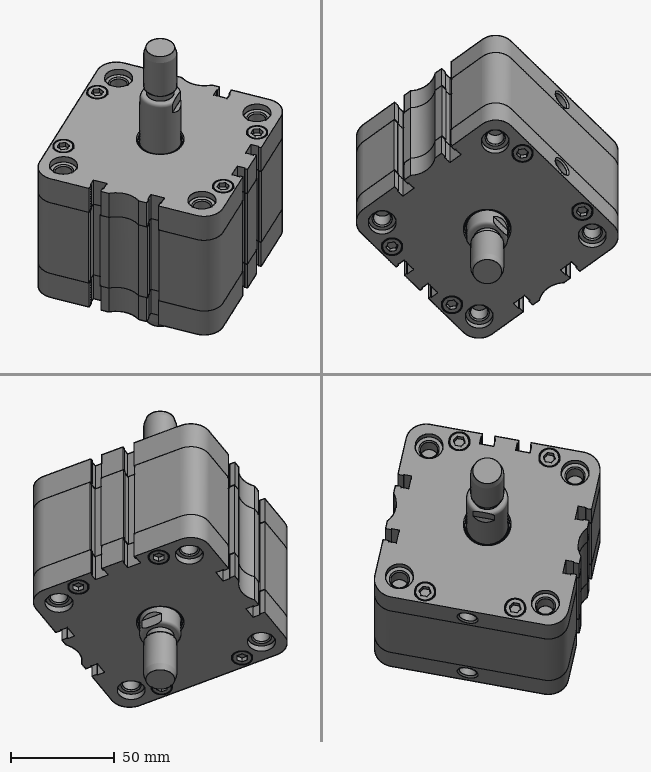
import cadquery as cq
import math


total_height = 168

side = 95.5
half_side = side / 2
corner_radius = 9.9
cap_height = 15.0
barrel_height = 44.0
housing_height = barrel_height + 2 * cap_height

slot_mouth_width = 6.0
slot_chamber_width = 7.0
front_slot_depth = 6.7
front_mouth_depth = 2.9
side_slot_depth = 5.5
side_mouth_depth = 1.5
front_slot_offset = 15.0
side_slot_offset = 8.9
barrel_slot_shift = 0.3

channel_radius = 25.0 / 2
channel_depth = 2.7

mount_spacing = 71.9
mount_diameter = 8.4
mount_chamfer_diameter = 9.7
mount_depth = 11.8
counterbore_diameter = 13.5
counterbore_depth = 3.4

screw_spacing_x = 83.0
screw_spacing_y = 44.4
screw_recess_diameter = 10.2
screw_head_diameter = 9.2
screw_recess_depth = 1.7
socket_width = 5
socket_depth = 2.5

port_diameter = 8.5
port_chamfer_diameter = 10.2
port_depth = 13.5
port_inset = 7.9

rod_diameter = 20.0
thread_diameter = 16.0
neck_diameter = 13.5
tip_diameter = 14.0
tip_length = 3.4
neck_length = 4.0
thread_runout = 1.0
shoulder_rounding = 1.7
flats_width = 17.0
flats_length = 5.9
upper_shoulder_height = 29.0
lower_shoulder_height = 9.0
stud_length = (total_height - housing_height - upper_shoulder_height - lower_shoulder_height) / 2

seal_mouth_diameter = 23.0
seal_recess_diameter = 21.8
seal_recess_depth = 1.0
seal_gap_diameter = 20.7
seal_gap_depth = 1.7


def cylinder(diameter, start, depth):
    """Cylinder along Z that reaches down from the height start."""
    return cq.Workplane("XY").workplane(offset=start).circle(diameter / 2).extrude(-depth)


def chamfer_cone(mouth_diameter, bore_diameter, start):
    """45-degree cone that widens a bore to mouth_diameter at the height start."""
    mouth_radius = mouth_diameter / 2
    bore_radius = bore_diameter / 2
    cone = cq.Solid.makeCone(bore_radius, mouth_radius, mouth_radius - bore_radius)
    return cq.Workplane(cone).translate((0, 0, start - mouth_radius + bore_radius))


def slot_cutter(mouth_y, chamber_y, mouth_depth, slot_depth, height):
    """Slot in the +X side, with its mouth centred on Y = mouth_y and its chamber on Y = chamber_y."""
    mouth = cq.Workplane("XY").box(2 * mouth_depth, slot_mouth_width, height, centered=(True, True, False))
    mouth = mouth.translate((half_side, mouth_y, 0))
    chamber_depth = slot_depth - mouth_depth
    chamber = cq.Workplane("XY").box(chamber_depth, slot_chamber_width, height, centered=(True, True, False))
    chamber = chamber.translate((half_side - mouth_depth - chamber_depth / 2, chamber_y, 0))
    return mouth.union(chamber)


def make_block(height, slot_shift):
    """Rounded square block with the slots and channels that run along the housing."""
    block = cq.Workplane("XY").box(side, side, height, centered=(True, True, False))
    block = block.edges("|Z").fillet(corner_radius)

    for direction in (-1, 1):
        side_y = direction * (side_slot_offset + slot_shift)
        block = block.cut(slot_cutter(side_y, side_y, side_mouth_depth, side_slot_depth, height))

        mouth_y = direction * (front_slot_offset + slot_shift)
        chamber_y = direction * front_slot_offset
        front_slot = slot_cutter(mouth_y, chamber_y, front_mouth_depth, front_slot_depth, height)
        for angle in (90, -90):
            block = block.cut(front_slot.rotate((0, 0, 0), (0, 0, 1), angle))

        channel_centre = direction * (half_side - channel_depth + channel_radius)
        block = block.cut(cq.Workplane("XY").center(0, channel_centre).circle(channel_radius).extrude(height))
    return block


def mount_hole():
    """Counterbored mounting hole with a small chamfer on the inner step."""
    step = cap_height - counterbore_depth
    hole = cylinder(counterbore_diameter, cap_height, counterbore_depth)
    hole = hole.union(cylinder(mount_diameter, cap_height, mount_depth))
    return hole.union(chamfer_cone(mount_chamfer_diameter, mount_diameter, step))


def screw_head_outline():
    """Ring groove and hexagon socket that outline a flush screw head."""
    ring = cylinder(screw_recess_diameter, cap_height, screw_recess_depth)
    ring = ring.cut(cylinder(screw_head_diameter, cap_height, screw_recess_depth))
    socket_corners = socket_width / math.cos(math.pi / 6)
    socket = cq.Workplane("XY").polygon(6, socket_corners).extrude(-socket_depth)
    socket = socket.rotate((0, 0, 0), (0, 0, 1), 30).translate((0, 0, cap_height))
    return ring.union(socket)


def port():
    """Air port that enters from the -X side."""
    hole = cylinder(port_diameter, 0, port_depth)
    hole = hole.union(chamfer_cone(port_chamfer_diameter, port_diameter, 0))
    hole = hole.rotate((0, 0, 0), (0, 1, 0), -90)
    return hole.translate((-half_side, 0, cap_height - port_inset))


def rod_passage():
    """Stepped bore for the rod."""
    passage = cylinder(rod_diameter, cap_height, cap_height)
    passage = passage.union(cylinder(seal_gap_diameter, cap_height, seal_gap_depth))
    passage = passage.union(cylinder(seal_recess_diameter, cap_height, seal_recess_depth))
    return passage.union(chamfer_cone(seal_mouth_diameter, seal_recess_diameter, cap_height))


def make_cap():
    """End cap with its inner face at Z = 0 and its outer face up."""
    cap = make_block(cap_height, 0)
    cap = cap.cut(rod_passage()).cut(port())
    for x_sign in (-1, 1):
        for y_sign in (-1, 1):
            mount_place = (x_sign * mount_spacing / 2, y_sign * mount_spacing / 2, 0)
            cap = cap.cut(mount_hole().translate(mount_place))
            screw_place = (x_sign * screw_spacing_x / 2, y_sign * screw_spacing_y / 2, 0)
            cap = cap.cut(screw_head_outline().translate(screw_place))
    return cap


def make_barrel():
    """Plain block with the housing slots."""
    return make_block(barrel_height, barrel_slot_shift)


def rod_flats(shoulder):
    """Cutters for the two wrench flats below the shoulder, each ending in a 45-degree slope."""
    flat_x = flats_width / 2
    rod_x = rod_diameter / 2
    flat_end = shoulder - flats_length
    profile = [
        (flat_x, shoulder),
        (flat_x, flat_end),
        (rod_x, flat_end - (rod_x - flat_x)),
        (rod_x, shoulder),
    ]
    flat = cq.Workplane("XZ").polyline(profile).close().extrude(rod_diameter / 2, both=True)
    return flat.union(flat.mirror("YZ"))


def make_rod(shoulder_height):
    """Rod with its inner end at Z = 0 that passes through a cap and ends in a threaded stud."""
    shoulder = cap_height + shoulder_height
    neck_end = shoulder + neck_length - thread_runout
    thread_start = shoulder + neck_length
    tip = shoulder + stud_length
    rod_radius = rod_diameter / 2
    thread_radius = thread_diameter / 2
    round_start = shoulder - shoulder_rounding
    round_middle = (
        rod_radius - shoulder_rounding * (1 - math.cos(math.pi / 4)),
        round_start + shoulder_rounding * math.sin(math.pi / 4),
    )
    half_section = (
        cq.Workplane("XZ")
        .lineTo(rod_radius, 0)
        .lineTo(rod_radius, round_start)
        .threePointArc(round_middle, (rod_radius - shoulder_rounding, shoulder))
        .lineTo(neck_diameter / 2, shoulder)
        .lineTo(neck_diameter / 2, neck_end)
        .lineTo(thread_radius, thread_start)
        .lineTo(thread_radius, tip - tip_length)
        .lineTo(tip_diameter / 2, tip)
        .lineTo(0, tip)
        .close()
    )
    rod = half_section.revolve(360, (0, 0, 0), (0, 1, 0))
    return rod.cut(rod_flats(shoulder))


def place_upper(body):
    """Stands a body on top of the barrel."""
    return body.translate((0, 0, cap_height + barrel_height))


def place_lower(body):
    """Hangs a body, turned upside down, under the barrel."""
    return body.mirror("XY").translate((0, 0, cap_height))


barrel = make_barrel().translate((0, 0, cap_height))
upper_cap = place_upper(make_cap())
lower_cap = place_lower(make_cap())
upper_rod = place_upper(make_rod(upper_shoulder_height))
lower_rod = place_lower(make_rod(lower_shoulder_height))

result = cq.Compound.makeCompound(
    [barrel.val(), upper_cap.val(), lower_cap.val(), upper_rod.val(), lower_rod.val()]
)